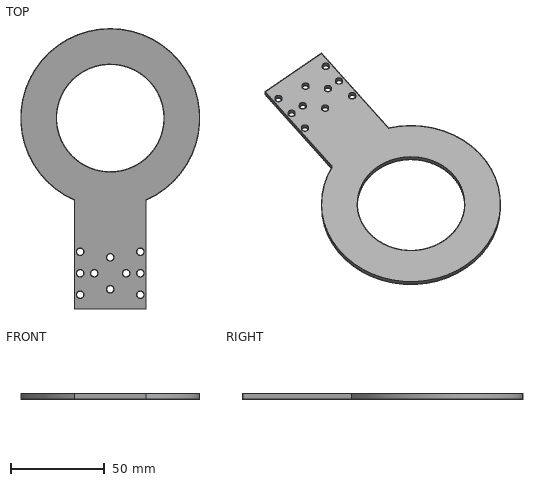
import cadquery as cq

thickness = 3.175
ring_outer_diameter = 95.25
ring_inner_diameter = 57.15
handle_width = 38.1
handle_reach = 101.6

hole_diameter = 3.8
pattern_from_end = 19.05
side_hole_offset = 16.0
side_hole_pitch = 11.43
diamond_radius = 8.5

handle_end_y = -handle_reach
pattern_y = handle_end_y + pattern_from_end


def make_plate():
    """Ring blank joined to a straight handle that runs toward -Y."""
    disc = cq.Workplane("XY").circle(ring_outer_diameter / 2).extrude(thickness)
    handle = (
        cq.Workplane("XY")
        .center(0, handle_end_y / 2)
        .rect(handle_width, handle_reach)
        .extrude(thickness)
    )
    return disc.union(handle)


def cut_ring_opening(plate):
    """Large round opening concentric with the ring."""
    opening = cq.Workplane("XY").circle(ring_inner_diameter / 2).extrude(thickness)
    return plate.cut(opening)


def cut_handle_holes(plate):
    """Two side columns of three holes around a diamond of four holes."""
    holes = (
        cq.Workplane("XY")
        .center(0, pattern_y)
        .rarray(2 * side_hole_offset, side_hole_pitch, 2, 3)
        .circle(hole_diameter / 2)
        .polarArray(diamond_radius, 0, 360, 4)
        .circle(hole_diameter / 2)
        .extrude(thickness)
    )
    return plate.cut(holes)


result = cut_handle_holes(cut_ring_opening(make_plate()))